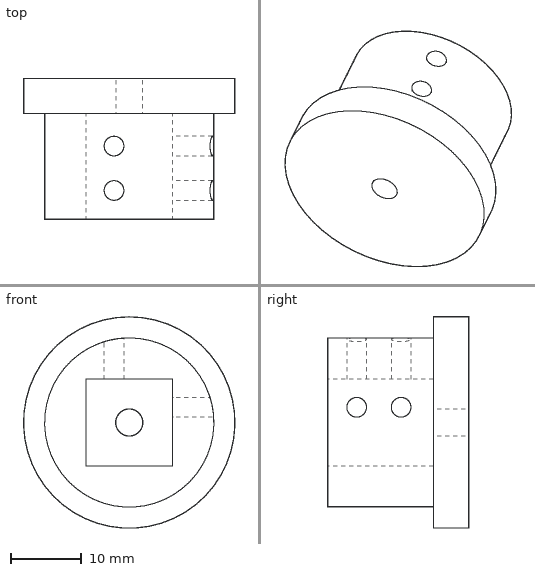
import cadquery as cq

flange_diameter = 30.0
flange_thickness = 5.0
hub_diameter = 24.0
hub_length = 15.0
socket_width = 12.3
socket_depth = hub_length
bore_diameter = 3.8
screw_diameter = 2.8
screw_offset = 2.15
screw_distances = (4.1, 10.4)

total_length = hub_length + flange_thickness
open_end = -total_length / 2
flange_face = open_end + hub_length


def cylinder_along_y(diameter, start, length):
    """Cylinder on the part axis, growing toward +Y from start."""
    return cq.Workplane("XY").add(
        cq.Solid.makeCylinder(diameter / 2, length, cq.Vector(0, start, 0), cq.Vector(0, 1, 0))
    )


def screw_hole(start, direction):
    """Cutter from inside the socket out through one side of the hub."""
    return cq.Solid.makeCylinder(screw_diameter / 2, hub_diameter / 2, start, direction)


hub = cylinder_along_y(hub_diameter, open_end, hub_length)
flange = cylinder_along_y(flange_diameter, flange_face, flange_thickness)
result = hub.union(flange)

socket = cq.Workplane("XY").box(socket_width, socket_depth, socket_width)
socket = socket.translate((0, open_end + socket_depth / 2, 0))
result = result.cut(socket)
result = result.cut(cylinder_along_y(bore_diameter, open_end, total_length))

for distance in screw_distances:
    y = open_end + distance
    result = result.cut(cq.Workplane(screw_hole(cq.Vector(-screw_offset, y, 0), cq.Vector(0, 0, 1))))
    result = result.cut(cq.Workplane(screw_hole(cq.Vector(0, y, screw_offset), cq.Vector(1, 0, 0))))